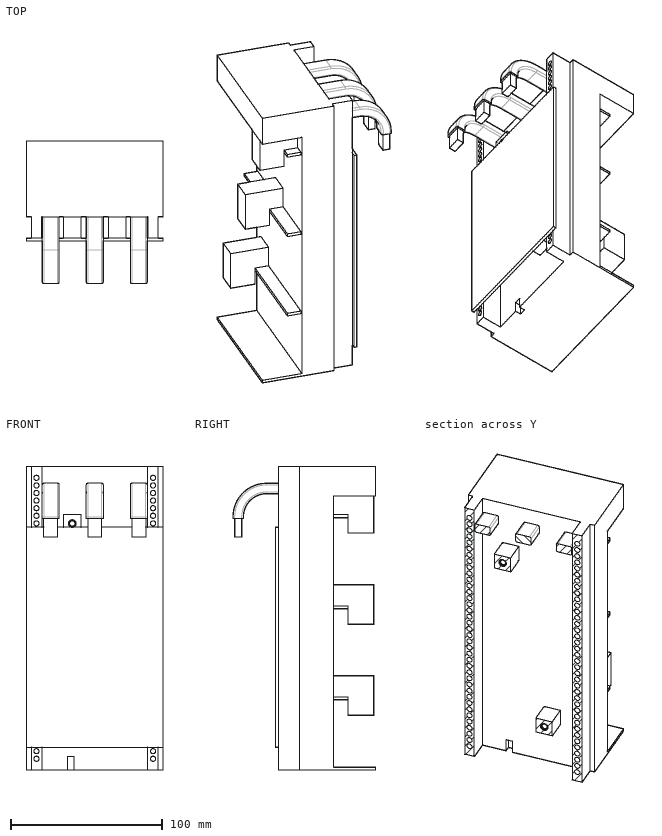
import cadquery as cq

HEIGHT = 200.0
WIDTH = 90.0
TOTAL_DEPTH = 94.0
COLUMN_BACK = 27.5
WALL_FRONT = 50.0
RAIL_FRONT = 64.0

HEAD_HEIGHT = 19.5
FOOT_THICKNESS = 2.0

RAIL_INNER_X = 34.8
RAIL_OUTER_X = 41.8
RAIL_MIDDLE_X = (RAIL_INNER_X + RAIL_OUTER_X) / 2
PIT_X = 38.5
PIT_DIAMETER = 3.5
PIT_DEPTH = 1.8
PIT_PITCH = 5.0
PIT_COUNT = 38
FIRST_PIT_Z = (HEIGHT - (PIT_COUNT - 1) * PIT_PITCH) / 2

BLOCK_SIZE = 11.5
BLOCK_X = 14.8
BLOCK_TOP = 168.2
BLOCK_Z = BLOCK_TOP - BLOCK_SIZE / 2
COUNTERBORE_DIAMETER = 5.0
COUNTERBORE_DEPTH = 0.8
SCREW_PIT_DIAMETER = 3.5
SCREW_PIT_DEPTH = 1.8

NOTCH_X = -15.8
NOTCH_WIDTH = 4.5
NOTCH_HEIGHT = 9.0
NOTCH_DEPTH = 4.0

BUSBAR_PITCH = 60.0
TOP_LEDGE_Z = 166.2
LEDGE_THICKNESS = 2.0
LEDGE_WIDTH = 86.0
HOOK_BACK = 1.2
HOOK_LIP_FRONT = 18.2
HOOK_LIP_DROP = 10.2
HOOK_RISE = 16.0
HOOK_WIDTH = 15.2

COVER_BOTTOM = 15.0
COVER_TOP = 160.0
COVER_THICKNESS = 2.0

CONDUCTOR_PITCH = 29.0
CONDUCTOR_XS = [-CONDUCTOR_PITCH, 0.0, CONDUCTOR_PITCH]
BAR_WIDTH = 9.2
BAR_THICKNESS = 4.8
SLEEVE_WIDTH = 11.2
SLEEVE_THICKNESS = 7.0
SLEEVE_ROUNDING = 1.2
SLEEVE_TOP = 189.0
SLEEVE_END = 165.5
BAR_END = 153.5
BEND_OUTER_RADIUS = 22.2
BEND_RADIUS = BEND_OUTER_RADIUS - SLEEVE_THICKNESS / 2


def box(x_middle, width, back, front, bottom, top):
    """Block centred at x_middle, between two depths and two heights."""
    return cq.Workplane("XY").box(width, front - back, top - bottom).translate(
        (x_middle, -(back + front) / 2, (bottom + top) / 2)
    )


def conical_pits(places, diameter, depth, mouth):
    """Cones whose mouths face the front at the given depth; places are (x, z)."""
    cone = cq.Solid.makeCone(diameter / 2, 0, depth, dir=cq.Vector(0, 1, 0))
    return cq.Compound.makeCompound([cone.translate(cq.Vector(x, -mouth, z)) for x, z in places])


def rails():
    """Both front rails, each with its row of pits."""
    width = RAIL_OUTER_X - RAIL_INNER_X
    pair = box(-RAIL_MIDDLE_X, width, WALL_FRONT, RAIL_FRONT, 0, HEIGHT)
    pair = pair.add(box(RAIL_MIDDLE_X, width, WALL_FRONT, RAIL_FRONT, 0, HEIGHT))
    heights = [FIRST_PIT_Z + i * PIT_PITCH for i in range(PIT_COUNT)]
    places = [(x, z) for x in (-PIT_X, PIT_X) for z in heights]
    return pair.combine().cut(
        cq.Workplane(obj=conical_pits(places, PIT_DIAMETER, PIT_DEPTH, RAIL_FRONT))
    )


def screw_block(x, z):
    """Square block with a shallow counterbore and a conical pit in its front face."""
    block = box(x, BLOCK_SIZE, WALL_FRONT, RAIL_FRONT, z - BLOCK_SIZE / 2, z + BLOCK_SIZE / 2)
    bore = cq.Workplane("XZ", origin=(x, -RAIL_FRONT, z)).circle(COUNTERBORE_DIAMETER / 2)
    block = block.cut(bore.extrude(-COUNTERBORE_DEPTH))
    pit_mouth = RAIL_FRONT - COUNTERBORE_DEPTH
    pit = conical_pits([(x, z)], SCREW_PIT_DIAMETER, SCREW_PIT_DEPTH, pit_mouth)
    return block.cut(cq.Workplane(obj=pit))


def hook(x, ledge_bottom):
    """Hook with a lip behind the busbar and a wide ledge above the busbar."""
    top = ledge_bottom + HOOK_RISE
    arm = box(x, HOOK_WIDTH, HOOK_BACK, COLUMN_BACK, ledge_bottom, top)
    lip = box(x, HOOK_WIDTH, HOOK_BACK, HOOK_LIP_FRONT, ledge_bottom - HOOK_LIP_DROP, top)
    ledge_top = ledge_bottom + LEDGE_THICKNESS
    ledge = box(0, LEDGE_WIDTH, HOOK_LIP_FRONT, COLUMN_BACK, ledge_bottom, ledge_top)
    return arm.union(lip).union(ledge)


def build_housing():
    """Column with head, foot, rails, screw blocks, notch and rear hooks."""
    body = box(0, WIDTH, COLUMN_BACK, WALL_FRONT, 0, HEIGHT)
    body = body.union(box(0, WIDTH, 0, COLUMN_BACK, HEIGHT - HEAD_HEIGHT, HEIGHT))
    body = body.union(box(0, WIDTH, 0, COLUMN_BACK, 0, FOOT_THICKNESS))
    body = body.union(rails())
    body = body.union(screw_block(-BLOCK_X, BLOCK_Z))
    body = body.union(screw_block(BLOCK_X, HEIGHT - BLOCK_Z))
    body = body.cut(box(NOTCH_X, NOTCH_WIDTH, WALL_FRONT - NOTCH_DEPTH, WALL_FRONT, 0, NOTCH_HEIGHT))
    for i, x in enumerate(CONDUCTOR_XS):
        body = body.union(hook(x, TOP_LEDGE_Z - i * BUSBAR_PITCH))
    return body


def build_cover():
    """Flat plate lying on the front faces of the rails."""
    return box(0, WIDTH, RAIL_FRONT, RAIL_FRONT + COVER_THICKNESS, COVER_BOTTOM, COVER_TOP)


def build_conductor(x):
    """Bent sleeve with rounded long edges and a bare bar end below it, as one body."""
    middle_z = SLEEVE_TOP - SLEEVE_THICKNESS / 2
    drop_y = -(TOTAL_DEPTH - SLEEVE_THICKNESS / 2)
    bend_y = drop_y + BEND_RADIUS
    bend_z = middle_z - BEND_RADIUS
    path = (
        cq.Workplane("YZ", origin=(x, 0, 0))
        .moveTo(-WALL_FRONT, middle_z)
        .lineTo(bend_y, middle_z)
        .tangentArcPoint((drop_y, bend_z), relative=False)
        .lineTo(drop_y, SLEEVE_END)
    )
    sleeve_section = (
        cq.Sketch().rect(SLEEVE_WIDTH, SLEEVE_THICKNESS).vertices().fillet(SLEEVE_ROUNDING)
    )
    sleeve = (
        cq.Workplane("XZ", origin=(x, -WALL_FRONT, middle_z))
        .placeSketch(sleeve_section)
        .sweep(path)
    )
    bar_end = (
        cq.Workplane("XY", origin=(x, drop_y, SLEEVE_END))
        .rect(BAR_WIDTH, BAR_THICKNESS)
        .extrude(BAR_END - SLEEVE_END)
    )
    return sleeve.union(bar_end)


housing = build_housing()
cover = build_cover()
conductors = [build_conductor(x) for x in CONDUCTOR_XS]

result = cq.Compound.makeCompound(
    [housing.val(), cover.val(), *[conductor.val() for conductor in conductors]]
)